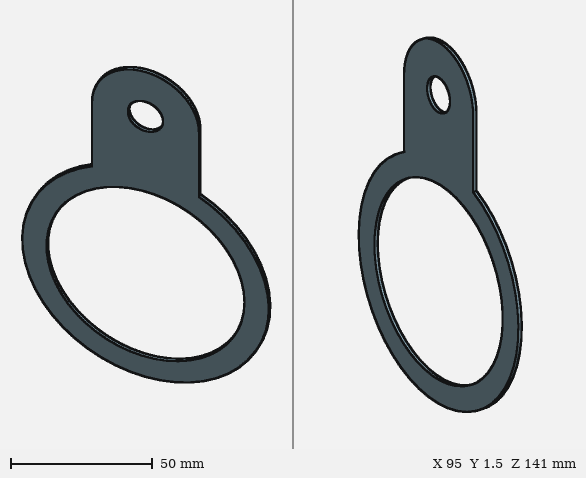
import cadquery as cq

total_height = 141.0
thickness = 1.5
ring_outer_diameter = 95.0
ring_inner_diameter = 76.3
tab_width = 41.2
tab_hole_diameter = 13.5

ring_radius = ring_outer_diameter / 2
tab_radius = tab_width / 2
tab_center_z = total_height - ring_radius - tab_radius


def disc(diameter, center_z):
    """Flat disc in the XZ plane, centred on Y = 0."""
    return (
        cq.Workplane("XZ", origin=(0, thickness / 2, 0))
        .center(0, center_z)
        .circle(diameter / 2)
        .extrude(thickness)
    )


tab_body = cq.Workplane("XY").box(
    tab_width, thickness, tab_center_z, centered=(True, True, False)
)
tab = tab_body.union(disc(tab_width, tab_center_z))

plate = disc(ring_outer_diameter, 0).union(tab)
ring_bore = disc(ring_inner_diameter, 0)
tab_hole = disc(tab_hole_diameter, tab_center_z)
result = plate.cut(ring_bore).cut(tab_hole)